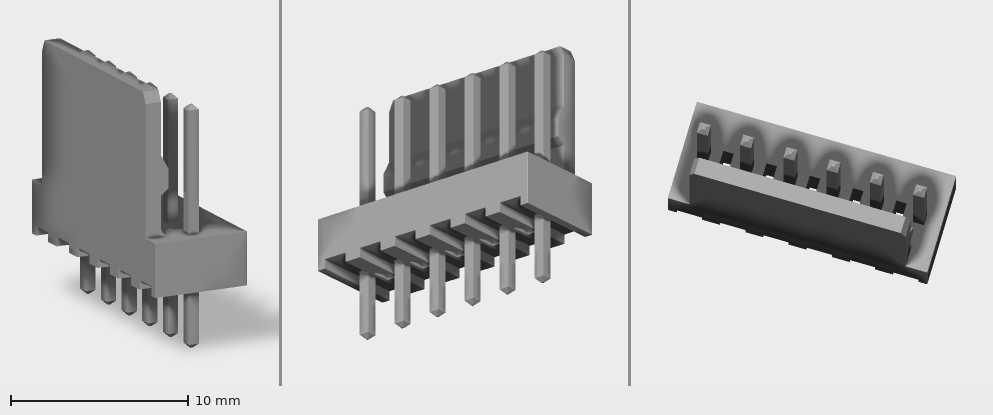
import cadquery as cq


overall_length = 15.25
overall_height = 15.26

pin_count = 6
pitch = overall_length / pin_count
pin_width = 0.64
pin_below = 3.57
pin_length = 14.24
tip_height = 0.26
tip_width = 0.14

body_length = overall_length
body_depth = 5.8
body_height = 3.16
corner_radius = 0.05
front_y = -body_depth / 2

slot_length = 0.61
slot_width = 1.19

channel_width = 1.5
channel_depth = 0.56

wall_length = (pin_count - 1) * pitch
wall_thickness = 0.98
wall_top = overall_height - pin_below
wall_chamfer_x = 0.29
wall_chamfer_z = 0.65
wall_root_radius = 0.6
wall_back_y = front_y + wall_thickness

ridge_depth = 0.5
ridge_bottom = 2.38
ridge_lower_edge = 2.78
ridge_upper_edge = 3.88
ridge_top = 4.78


def row_positions(count):
    """Points on the X axis, one pitch apart and centred on the origin."""
    return [((i - (count - 1) / 2) * pitch, 0) for i in range(count)]


def make_body():
    body = (
        cq.Workplane("XY")
        .box(body_length, body_depth, body_height, centered=(True, True, False))
        .edges("|Z")
        .fillet(corner_radius)
    )
    slots = (
        cq.Workplane("XY")
        .pushPoints(row_positions(pin_count - 1))
        .rect(slot_length, slot_width)
        .extrude(body_height)
    )
    channels = (
        cq.Workplane("XY")
        .pushPoints(row_positions(pin_count))
        .rect(channel_width, body_depth)
        .extrude(channel_depth)
    )
    return body.cut(slots).cut(channels)


def make_wall():
    """Wall with its latch ridge and rounded root, as a side profile swept along X."""
    ridge_y = wall_back_y + ridge_depth
    root_arc_centre = (wall_back_y + wall_root_radius, body_height + wall_root_radius)
    arc_reach = wall_root_radius * 0.5 ** 0.5
    root_arc_middle = (root_arc_centre[0] - arc_reach, root_arc_centre[1] - arc_reach)
    profile = (
        cq.Workplane("YZ", origin=(-wall_length / 2, 0, 0))
        .moveTo(front_y, body_height)
        .lineTo(front_y, wall_top)
        .lineTo(wall_back_y, wall_top)
        .lineTo(wall_back_y, body_height + ridge_top)
        .lineTo(ridge_y, body_height + ridge_upper_edge)
        .lineTo(ridge_y, body_height + ridge_lower_edge)
        .lineTo(wall_back_y, body_height + ridge_bottom)
        .lineTo(wall_back_y, root_arc_centre[1])
        .threePointArc(root_arc_middle, (root_arc_centre[0], body_height))
        .close()
    )
    wall = profile.extrude(wall_length)

    for side in (-1, 1):
        end_x = side * wall_length / 2
        corner = (
            cq.Workplane("XZ", origin=(0, wall_back_y, 0))
            .moveTo(end_x, wall_top)
            .lineTo(end_x - side * wall_chamfer_x, wall_top)
            .lineTo(end_x, wall_top - wall_chamfer_z)
            .close()
            .extrude(wall_thickness)
        )
        wall = wall.cut(corner)
    return wall


def make_tip(base_z, end_z):
    """Blunt pyramid from the full pin section to the small flat end."""
    return (
        cq.Workplane("XY", origin=(0, 0, base_z))
        .rect(pin_width, pin_width)
        .workplane(offset=end_z - base_z)
        .rect(tip_width, tip_width)
        .loft(ruled=True)
    )


def make_pin():
    bottom = -pin_below
    top = bottom + pin_length
    shank_bottom = bottom + tip_height
    shank_top = top - tip_height
    shank = (
        cq.Workplane("XY", origin=(0, 0, shank_bottom))
        .rect(pin_width, pin_width)
        .extrude(shank_top - shank_bottom)
    )
    return shank.union(make_tip(shank_top, top)).union(make_tip(shank_bottom, bottom))


result = make_body().union(make_wall())
pin = make_pin()
for x, y in row_positions(pin_count):
    result = result.union(pin.translate((x, y, 0)))